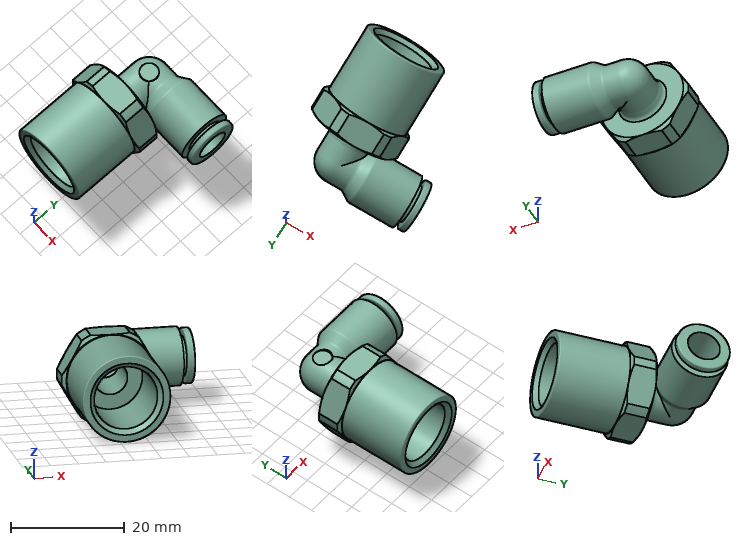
import cadquery as cq
import math


LEG_RADIUS = 4.0
PASSAGE_RADIUS = 3.0

HEX_TOP_Y = -5.65
HEX_HEIGHT = 5.0
HEX_ACROSS_FLATS = 16.0
HEX_CORNER_RADIUS = 8.75
HEX_TURN_DEGREES = 30
HEX_CHAMFER_ANGLE = math.radians(30)
HEX_BOTTOM_Y = HEX_TOP_Y - HEX_HEIGHT
SLEEVE_RADIUS = 7.9
SLEEVE_LENGTH = 13.15
SLEEVE_END_Y = HEX_BOTTOM_Y - SLEEVE_LENGTH
SLEEVE_EDGE_ROUND = 0.2
BORE_RADIUS = 5.7
BORE_DEPTH = SLEEVE_LENGTH
BORE_CHAMFER = 0.87

NECK_START_Y = -3.95
FLARE_START_Y = -4.88
NECK_RADIUS = 4.18
FLARE_RADIUS = 4.7

BRANCH_RADIUS = 5.25
BRANCH_CONE_ANGLE = math.radians(32)
BRANCH_CONE_START_X = 3.12
CONE_ROOT_BLEND = 0.7
CONE_RIM_BLEND = 0.8
BRANCH_END_X = 14.4
COLLAR_NECK_RADIUS = 3.62
COLLAR_START_X = 15.25
COLLAR_END_X = 16.55
COLLAR_RADIUS = 4.95
COLLAR_EDGE_ROUND = 0.25

RECESS_RADIUS = 1.75
RECESS_FLOOR_Z = 3.6


def cylinder_along_y(radius, start_y, length):
    """Cylinder on the sleeve axis, running from start_y towards -Y."""
    return cq.Workplane("XZ", origin=(0, start_y, 0)).circle(radius).extrude(length)


def cylinder_along_x(radius, start_x, end_x):
    """Cylinder on the branch axis."""
    return cq.Workplane("YZ", origin=(start_x, 0, 0)).circle(radius).extrude(end_x - start_x)


def elbow(radius, end_x, end_y):
    """Two equal round legs, with a quarter ball rounding their outer corner."""
    branch_leg = cylinder_along_x(radius, 0, end_x)
    sleeve_leg = cylinder_along_y(radius, 0, -end_y)
    corner_ball = (
        cq.Workplane("YZ")
        .moveTo(0, -radius)
        .threePointArc((radius, 0), (0, radius))
        .close()
        .revolve(90, (0, 0, 0), (0, 1, 0))
    )
    return branch_leg.union(sleeve_leg).union(corner_ball)


def flared_neck():
    """Neck that widens slightly, then flares onto the hexagon."""
    profile = (
        cq.Workplane("XY")
        .moveTo(0, NECK_START_Y)
        .lineTo(LEG_RADIUS, NECK_START_Y)
        .lineTo(NECK_RADIUS, FLARE_START_Y)
        .tangentArcPoint((FLARE_RADIUS, HEX_TOP_Y), relative=False)
        .lineTo(0, HEX_TOP_Y)
        .close()
    )
    return profile.revolve(360, (0, 0, 0), (0, 1, 0))


def hexagon():
    """Hexagon with turned corners and a 30 degree chamfer on both faces."""
    flats = (
        cq.Workplane("XZ", origin=(0, HEX_TOP_Y, 0))
        .transformed(rotate=(0, 0, HEX_TURN_DEGREES))
        .polygon(6, HEX_ACROSS_FLATS, circumscribed=True)
        .extrude(HEX_HEIGHT)
    )
    chamfer_width = HEX_CORNER_RADIUS - HEX_ACROSS_FLATS / 2
    chamfer_height = chamfer_width * math.tan(HEX_CHAMFER_ANGLE)
    turned_blank = (
        cylinder_along_y(HEX_CORNER_RADIUS, HEX_TOP_Y, HEX_HEIGHT)
        .faces(">Y").chamfer(chamfer_height, chamfer_width)
        .faces("<Y").chamfer(chamfer_height, chamfer_width)
    )
    return flats.intersect(turned_blank)


def sleeve():
    """Round sleeve below the hexagon with a rounded outer end edge."""
    tube = cylinder_along_y(SLEEVE_RADIUS, HEX_BOTTOM_Y, SLEEVE_LENGTH)
    return tube.faces("<Y").edges().fillet(SLEEVE_EDGE_ROUND)


def branch_body():
    """Branch body whose cone blends tangentially into the leg and the body."""
    rise_per_blend = 1 - math.cos(BRANCH_CONE_ANGLE)
    run_per_blend = math.sin(BRANCH_CONE_ANGLE)
    root_x = BRANCH_CONE_START_X + CONE_ROOT_BLEND * run_per_blend
    root_radius = LEG_RADIUS + CONE_ROOT_BLEND * rise_per_blend
    rim_radius = BRANCH_RADIUS - CONE_RIM_BLEND * rise_per_blend
    rim_x = root_x + (rim_radius - root_radius) / math.tan(BRANCH_CONE_ANGLE)
    body_x = rim_x + CONE_RIM_BLEND * run_per_blend
    profile = (
        cq.Workplane("XY")
        .moveTo(0, 0)
        .lineTo(0, LEG_RADIUS)
        .lineTo(BRANCH_CONE_START_X, LEG_RADIUS)
        .tangentArcPoint((root_x, root_radius), relative=False)
        .lineTo(rim_x, rim_radius)
        .tangentArcPoint((body_x, BRANCH_RADIUS), relative=False)
        .lineTo(BRANCH_END_X, BRANCH_RADIUS)
        .lineTo(BRANCH_END_X, 0)
        .close()
    )
    return profile.revolve(360, (0, 0, 0), (1, 0, 0))


def release_collar():
    """Release collar with rounded edges, carried on a thinner neck."""
    neck = cylinder_along_x(COLLAR_NECK_RADIUS, BRANCH_END_X, COLLAR_START_X)
    flange = cylinder_along_x(COLLAR_RADIUS, COLLAR_START_X, COLLAR_END_X)
    flange = flange.faces("<X or >X").edges().fillet(COLLAR_EDGE_ROUND)
    return neck.union(flange)


def sleeve_bore():
    """Chamfered bore in the open end of the sleeve."""
    mouth_radius = BORE_RADIUS + BORE_CHAMFER
    profile = (
        cq.Workplane("XY")
        .moveTo(0, SLEEVE_END_Y)
        .lineTo(mouth_radius, SLEEVE_END_Y)
        .lineTo(BORE_RADIUS, SLEEVE_END_Y + BORE_CHAMFER)
        .lineTo(BORE_RADIUS, SLEEVE_END_Y + BORE_DEPTH)
        .lineTo(0, SLEEVE_END_Y + BORE_DEPTH)
        .close()
    )
    return profile.revolve(360, (0, 0, 0), (0, 1, 0))


def top_recess():
    """Shallow round recess at the corner of the elbow."""
    return (
        cq.Workplane("XY", origin=(0, 0, RECESS_FLOOR_Z))
        .circle(RECESS_RADIUS)
        .extrude(LEG_RADIUS)
    )


outside = (
    elbow(LEG_RADIUS, BRANCH_CONE_START_X, HEX_TOP_Y)
    .union(flared_neck())
    .union(hexagon())
    .union(sleeve())
    .union(branch_body())
    .union(release_collar())
)
result = (
    outside
    .cut(elbow(PASSAGE_RADIUS, COLLAR_END_X, SLEEVE_END_Y))
    .cut(sleeve_bore())
    .cut(top_recess())
)